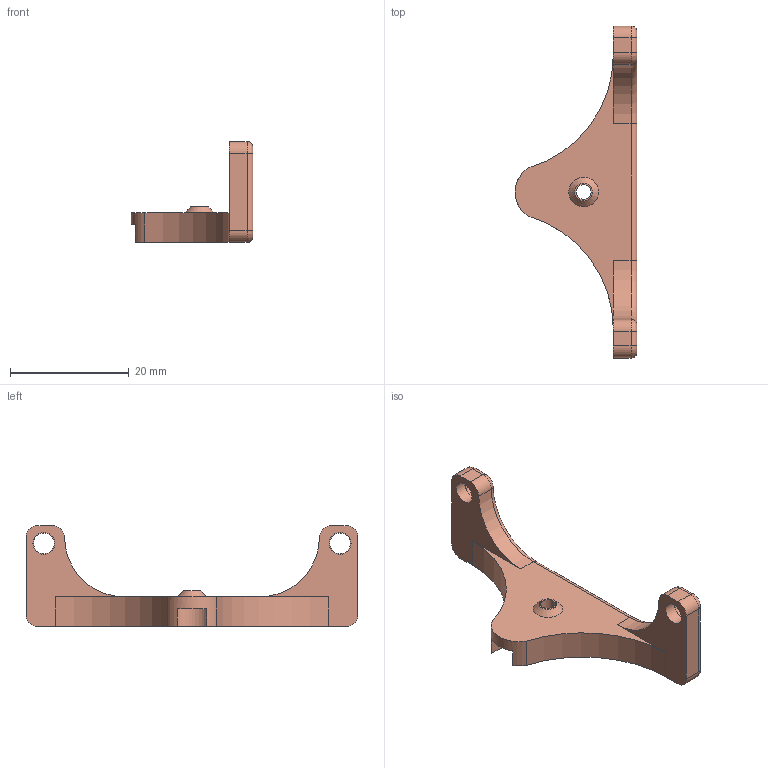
import cadquery as cq
import math

wall_length = 56.0
wall_height = 17.0
wall_thickness = 4.0
wall_front = -wall_thickness
corner_radius = 2.0
back_edge_radius = 1.0

ear_width = 6.5
ear_curve_radius = 10.0

ear_hole_inset = 3.0
ear_hole_front_diameter = 3.7
ear_hole_back_diameter = 3.5
ear_hole_front_depth = 2.0

plate_thickness = 5.0
nose_tip = -20.58
nose_radius = 4.75
nose_center = nose_tip + nose_radius
flank_radius = 19.8
flank_center_y = 23.1

boss_x = -9.0
boss_base_diameter = 5.0
boss_top_diameter = 3.0
boss_height = 1.0
boss_hole_diameter = 2.5

recess_depth = 3.0
recess_diameter = 6.5
slot_width = 5.0


def make_wall():
    """Upright wall with an ear at each end and a rounded back edge."""
    half_length = wall_length / 2
    ear_inner = half_length - ear_width
    round_top = wall_height - corner_radius
    curve_center_y = ear_inner - ear_curve_radius
    curve_center_z = plate_thickness + ear_curve_radius
    curve_mid = ear_curve_radius * math.sqrt(0.5)
    round_mid = corner_radius * (1 - math.sqrt(0.5))

    half_wall = (
        cq.Workplane("YZ", origin=(wall_front, 0, 0))
        .lineTo(half_length - corner_radius, 0)
        .threePointArc((half_length - round_mid, round_mid), (half_length, corner_radius))
        .lineTo(half_length, round_top)
        .threePointArc(
            (half_length - round_mid, wall_height - round_mid),
            (half_length - corner_radius, wall_height),
        )
        .lineTo(ear_inner + corner_radius, wall_height)
        .threePointArc((ear_inner + round_mid, wall_height - round_mid), (ear_inner, round_top))
        .threePointArc(
            (curve_center_y + curve_mid, curve_center_z - curve_mid),
            (curve_center_y, plate_thickness),
        )
        .lineTo(0, plate_thickness)
        .close()
        .extrude(wall_thickness)
    )
    wall = half_wall.union(half_wall.mirror("XZ")).clean()
    return wall.faces(">X").edges().fillet(back_edge_radius)


def make_plate():
    """Plate from the wall to the nose, its outline made of the nose arc and two hollow flank arcs."""
    flank_center_x = wall_front - flank_radius
    to_flank_x = flank_center_x - nose_center
    distance = math.hypot(to_flank_x, flank_center_y)
    nose_side = (distance**2 + nose_radius**2 - flank_radius**2) / (2 * distance)
    half_chord = math.sqrt(nose_radius**2 - nose_side**2)
    junction_x = nose_center + (nose_side * to_flank_x - half_chord * flank_center_y) / distance
    junction_y = (nose_side * flank_center_y + half_chord * to_flank_x) / distance

    mid_angle = math.atan2(junction_y - flank_center_y, junction_x - flank_center_x) / 2
    mid_x = flank_center_x + flank_radius * math.cos(mid_angle)
    mid_y = flank_center_y + flank_radius * math.sin(mid_angle)

    return (
        cq.Workplane("XY")
        .moveTo(wall_front, -flank_center_y)
        .threePointArc((mid_x, -mid_y), (junction_x, -junction_y))
        .threePointArc((nose_tip, 0), (junction_x, junction_y))
        .threePointArc((mid_x, mid_y), (wall_front, flank_center_y))
        .close()
        .extrude(plate_thickness)
    )


def make_boss():
    """Cone frustum standing on the plate."""
    return (
        cq.Workplane("XY", origin=(boss_x, 0, plate_thickness))
        .circle(boss_base_diameter / 2)
        .workplane(offset=boss_height)
        .circle(boss_top_diameter / 2)
        .loft(ruled=True)
    )


def make_boss_hole():
    """Cutter for the vertical hole through boss and plate."""
    return (
        cq.Workplane("XY")
        .center(boss_x, 0)
        .circle(boss_hole_diameter / 2)
        .extrude(plate_thickness + boss_height)
    )


def make_recess():
    """Cutter for the pocket under the boss and the slot leading out through the nose."""
    pocket = cq.Workplane("XY").center(boss_x, 0).circle(recess_diameter / 2).extrude(recess_depth)
    slot = (
        cq.Workplane("XY")
        .center(nose_tip, 0)
        .rect(boss_x - nose_tip, slot_width, centered=(False, True))
        .extrude(recess_depth)
    )
    return pocket.union(slot)


def make_ear_hole(side):
    """Cutter for the stepped hole in the ear at one end of the wall."""
    center = (side * (wall_length / 2 - ear_hole_inset), wall_height - ear_hole_inset)
    wall_plane = cq.Workplane("YZ", origin=(wall_front, 0, 0)).center(*center)
    narrow = wall_plane.circle(ear_hole_back_diameter / 2).extrude(wall_thickness)
    wide = wall_plane.circle(ear_hole_front_diameter / 2).extrude(ear_hole_front_depth)
    return narrow.union(wide)


result = make_wall().union(make_plate()).union(make_boss())
result = result.cut(make_boss_hole()).cut(make_recess())
for end in (-1, 1):
    result = result.cut(make_ear_hole(end))